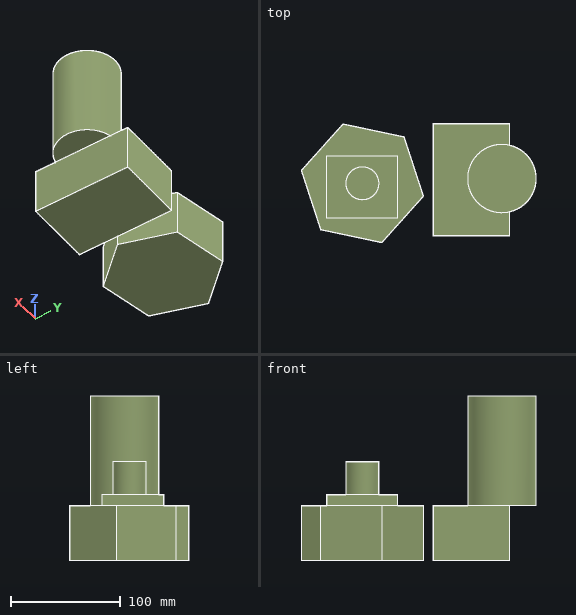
import cadquery as cq
import math

overall_length = 213.82
overall_depth = 108.33

base_height = 50.0
hex_turn = -11.9
hex_side_count = 6
hex_corner_radius = 56.85
hex_corner_step = 360.0 / hex_side_count
rear_corner_angle = hex_turn + 2 * hex_corner_step
hex_half_length = hex_corner_radius * math.cos(math.radians(hex_turn))
hex_half_depth = hex_corner_radius * math.sin(math.radians(rear_corner_angle))

flange_length = 64.7
flange_width = 56.5
flange_thickness = 10.0
flange_center_x = -0.2
flange_center_y = -3.2
pin_diameter = 29.93
pin_height = 30.0

column_diameter = 62.36
column_height = 100.0
column_x = overall_length - hex_half_length - column_diameter / 2
column_y = 4.35

block_length = 69.7
block_width = 102.1
block_left_x = 64.3
block_center_x = block_left_x + block_length / 2
block_rear_y = overall_depth - hex_half_depth
block_center_y = block_rear_y - block_width / 2


def make_hex_block():
    """Hexagonal prism standing on the floor."""
    return (
        cq.Workplane("XY")
        .polygon(hex_side_count, 2 * hex_corner_radius)
        .extrude(base_height)
        .rotate((0, 0, 0), (0, 0, 1), hex_turn)
    )


def make_flanged_stud():
    """Rectangular flange resting on the hexagonal block, with a round pin on top."""
    flange = (
        cq.Workplane("XY", origin=(flange_center_x, flange_center_y, base_height))
        .rect(flange_length, flange_width)
        .extrude(flange_thickness)
    )
    pin = (
        cq.Workplane("XY", origin=(0, 0, base_height))
        .circle(pin_diameter / 2)
        .extrude(flange_thickness + pin_height)
    )
    return flange.union(pin)


def make_rectangular_block():
    """Plain rectangular block standing on the floor."""
    return (
        cq.Workplane("XY", origin=(block_center_x, block_center_y, 0))
        .rect(block_length, block_width)
        .extrude(base_height)
    )


def make_column():
    """Round column resting on the rectangular block."""
    return (
        cq.Workplane("XY", origin=(column_x, column_y, base_height))
        .circle(column_diameter / 2)
        .extrude(column_height)
    )


hex_block = make_hex_block()
flanged_stud = make_flanged_stud()
rectangular_block = make_rectangular_block()
column = make_column()

result = cq.Compound.makeCompound(
    [hex_block.val(), flanged_stud.val(), rectangular_block.val(), column.val()]
)